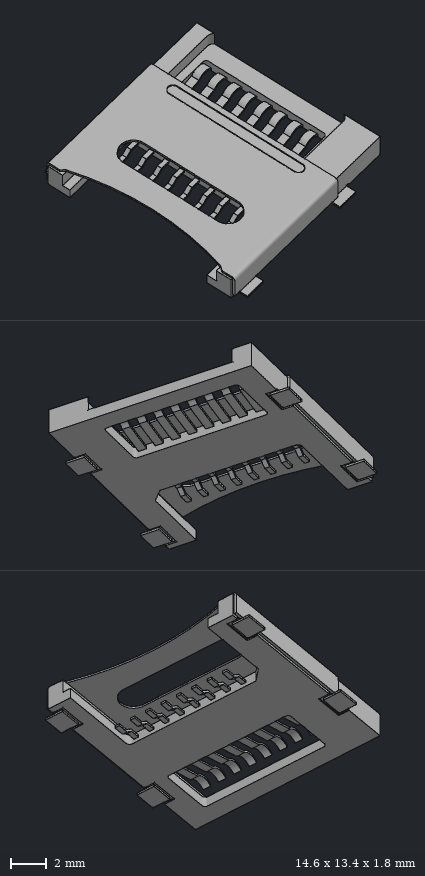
import cadquery as cq
import math


total_width = 14.6
total_height = 1.8
sheet_thickness = 0.15

base_width = 13.24
base_depth = 13.4
base_bottom = 0.05
base_top = total_height - sheet_thickness
floor_top = 0.75

pocket_half_width = 5.55
pocket_back_right = 4.3
pocket_step_y = 6.57
pocket_left_radius = 0.5
pocket_right_radius = 0.6
pocket_overrun = 0.09

window_left = -5.02
window_right = 3.72
window_front = 8.76
window_back = 12.19
window_radius = 0.2

opening_left = -5.02
opening_right = 4.85
opening_depth = 5.31
opening_left_radius = 0.28
opening_right_chamfer = 0.75

contact_count = 8
first_contact_x = -4.48
last_contact_x = 3.21
contact_pitch = (last_contact_x - first_contact_x) / (contact_count - 1)
spring_width = 0.54
leg_width = 0.32
spring_tip_y = 11.72
spring_bend_y = 10.58
spring_bend_top = 1.02
spring_crest_top = 1.28
spring_root_y = 8.32
spring_slope = math.radians(13)
leg_top = 0.47
foot_front_y = 3.58
foot_back_y = 4.22
leg_slope = math.radians(38)
leg_overlap = 0.15

tab_length = 1.23
tab_width = 1.45
tab_front_edges = (0.61, 8.94)
recess_margin = 0.19

cover_side_thickness = 0.18
cover_width = base_width + 2 * cover_side_thickness
cover_front = 0.12
cover_back = 9.39
cover_bottom = 0.23
cover_edge_radius = 0.26
arch_top_y = 1.14
arch_half_width = 5.59
arch_end_y = 0.34
arch_mouth_half_width = 5.85
slot_length = 8.63
slot_width = 1.82
slot_center_y = 3.7
groove_length = 9.77
groove_width = 0.7
groove_center_y = 8.66
groove_depth = 0.07


def block(x0, x1, y0, y1, z0, z1):
    """Box between two opposite corners."""
    return cq.Workplane("XY").box(x1 - x0, y1 - y0, z1 - z0, centered=False).translate((x0, y0, z0))


def card_pocket():
    """Space for the card above the floor; its rounded back corners break out through the back."""
    pocket_back = base_depth + pocket_overrun
    front_part = block(-pocket_half_width, pocket_half_width, 0, pocket_step_y, floor_top, base_top)
    back_part = block(-pocket_half_width, pocket_back_right, 0, pocket_back, floor_top, base_top)
    back_part = back_part.edges("|Z and >Y and <X").fillet(pocket_left_radius)
    back_part = back_part.edges("|Z and >Y and >X").fillet(pocket_right_radius)
    return front_part.union(back_part)


def contact_window():
    """Rectangular window through the floor under the contact springs."""
    window = block(window_left, window_right, window_front, window_back, base_bottom, floor_top)
    return window.edges("|Z").fillet(window_radius)


def front_opening():
    """Gap between the front arms, its left inner corner rounded and its right one cut at 45 degrees."""
    outline = [
        (opening_left, 0),
        (opening_right, 0),
        (opening_right, opening_depth - opening_right_chamfer),
        (opening_right - opening_right_chamfer, opening_depth),
        (opening_left, opening_depth),
    ]
    opening = cq.Workplane("XY").workplane(offset=base_bottom).polyline(outline).close().extrude(base_top)
    return opening.edges("|Z and <X and >Y").fillet(opening_left_radius)


def contact_spring(x):
    """Spring arm that rises from the floor and ends in an arched contact point."""
    crest_y = (spring_bend_y + spring_tip_y) / 2
    root_top = spring_bend_top - (spring_bend_y - spring_root_y) * math.tan(spring_slope)
    bend_under = spring_bend_top - sheet_thickness
    crest_under = spring_crest_top - sheet_thickness
    profile = (
        cq.Workplane("YZ")
        .moveTo(spring_root_y, root_top)
        .lineTo(spring_bend_y, spring_bend_top)
        .threePointArc((crest_y, spring_crest_top), (spring_tip_y, spring_bend_top))
        .lineTo(spring_tip_y, bend_under)
        .threePointArc((crest_y, crest_under), (spring_bend_y, bend_under))
        .lineTo(spring_root_y, root_top - sheet_thickness)
        .close()
    )
    return profile.extrude(spring_width / 2, both=True).translate((x, 0, 0))


def contact_leg(x):
    """Leg that leaves the floor edge, slopes down and ends in a flat solder foot."""
    drop = leg_top - sheet_thickness
    bend_shift = sheet_thickness * math.tan(leg_slope / 2)
    slope_run = drop / math.tan(leg_slope)
    profile = [
        (foot_front_y, 0),
        (foot_back_y + bend_shift, 0),
        (foot_back_y + bend_shift + slope_run, drop),
        (opening_depth + leg_overlap, drop),
        (opening_depth + leg_overlap, leg_top),
        (foot_back_y + slope_run, leg_top),
        (foot_back_y, sheet_thickness),
        (foot_front_y, sheet_thickness),
    ]
    leg = cq.Workplane("YZ").polyline(profile).close().extrude(leg_width / 2, both=True)
    return leg.translate((x, 0, 0))


def make_base():
    """Base block with its openings, contacts and solder tabs in one solid."""
    half_width = base_width / 2
    base = block(-half_width, half_width, 0, base_depth, base_bottom, base_top)
    base = base.cut(card_pocket()).cut(contact_window()).cut(front_opening())

    for index in range(contact_count):
        x = first_contact_x + index * contact_pitch
        base = base.union(contact_spring(x)).union(contact_leg(x))

    tab_outer = total_width / 2
    tab_inner = tab_outer - tab_length
    for tab_front in tab_front_edges:
        tab_back = tab_front + tab_width
        recess_front = tab_front - recess_margin
        recess_back = tab_back + recess_margin
        left_tab = block(-tab_outer, -tab_inner, tab_front, tab_back, 0, sheet_thickness)
        left_recess = block(
            -half_width, recess_margin - tab_inner, recess_front, recess_back, base_bottom, sheet_thickness
        )
        base = base.cut(left_recess).cut(left_recess.mirror("YZ"))
        base = base.union(left_tab).union(left_tab.mirror("YZ"))
    return base


def front_arch():
    """Shallow arched cut in the front edge of the cover, with slanted ends."""
    return (
        cq.Workplane("XY")
        .workplane(offset=base_top)
        .moveTo(-arch_mouth_half_width, cover_front)
        .lineTo(-arch_half_width, arch_end_y)
        .threePointArc((0, arch_top_y), (arch_half_width, arch_end_y))
        .lineTo(arch_mouth_half_width, cover_front)
        .close()
        .extrude(sheet_thickness)
    )


def rounded_slot(length, width, center_y, depth):
    """Slot with round ends, sunk from the top of the cover."""
    slot = cq.Workplane("XY").slot2D(length, width).extrude(depth)
    return slot.translate((0, center_y, total_height - depth))


def make_cover():
    """Sheet cover folded down over both sides of the base."""
    half_width = cover_width / 2
    cover = block(-half_width, half_width, cover_front, cover_back, cover_bottom, total_height)
    cover = cover.edges("|Y and >Z").fillet(cover_edge_radius)
    inner_half_width = base_width / 2
    inside = block(-inner_half_width, inner_half_width, cover_front, cover_back, cover_bottom, base_top)
    cover = cover.cut(inside).cut(front_arch())
    cover = cover.cut(rounded_slot(slot_length, slot_width, slot_center_y, sheet_thickness))
    return cover.cut(rounded_slot(groove_length, groove_width, groove_center_y, groove_depth))


base = make_base()
cover = make_cover()
result = cq.Compound.makeCompound([base.val(), cover.val()])